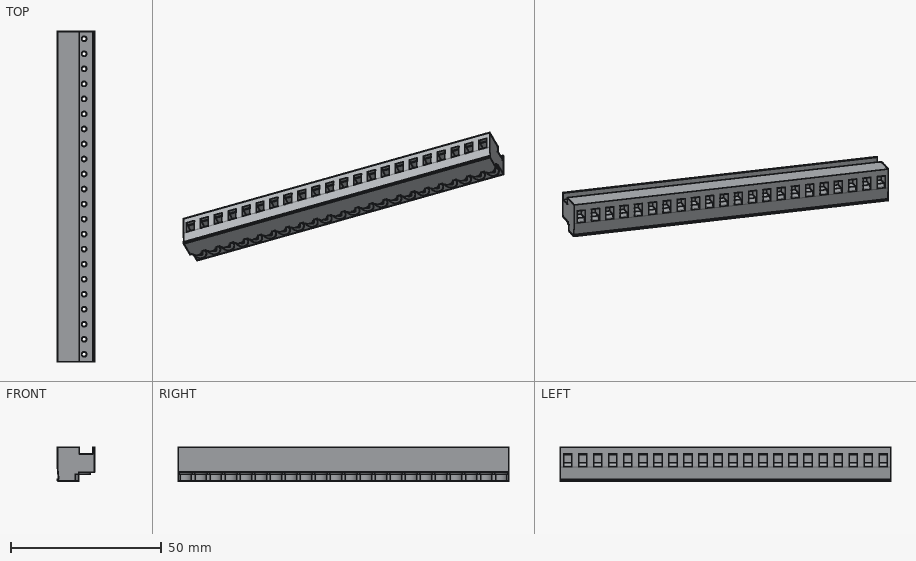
import cadquery as cq

length = 110.0
width = 12.4
height = 11.3
ways = 22
pitch = length / ways
way_positions = [(way + 0.5) * pitch for way in range(ways)]

channel_start = 7.4
channel_depth = 2.3
channel_floor = height - channel_depth
rear_wall = 0.7

foot_width = 5.9
step_width = 7.2
step_height = 2.2
overhang_height = 2.9
rear_chamfer = 0.2

taper_top = 4.7
taper_inset = 0.38
lip_top = 0.7
lip_nose_top = 0.5
lip_nose_bottom = 0.2

opening_width = 2.8
opening_bottom = 4.8
opening_top = 9.0
lead_in_depth = 1.2
ramp_depth = 0.7
ramp_rise = 0.3
wire_hole_bottom = 6.0
wire_hole_top = 8.7
wire_hole_depth = 4.4

pin_x = 8.9
pin_diameter = 1.5
boss_diameter = 4.2
rib_radius = 2.1


def make_body():
    """Extrude the X-Z outline of the strip over its full length, from Y = 0."""
    channel_end = width - rear_wall
    outline = [
        (taper_inset, 0),
        (foot_width, 0),
        (foot_width, step_height),
        (step_width, step_height),
        (step_width, overhang_height),
        (width - rear_chamfer, overhang_height),
        (width, overhang_height + rear_chamfer),
        (width, height),
        (channel_end, height),
        (channel_end, channel_floor),
        (channel_start, channel_floor),
        (channel_start, height),
        (0, height),
        (0, taper_top),
        (taper_inset, lip_top),
        (0, lip_nose_top),
        (0, lip_nose_bottom),
    ]
    return cq.Workplane("XZ").polyline(outline).close().extrude(-length)


def make_wire_opening(y):
    """Lead-in with a sloping floor that curves up to a deeper rectangular wire hole."""
    profile = (
        cq.Workplane("XZ", origin=(0, y - opening_width / 2, 0))
        .moveTo(0, opening_bottom)
        .lineTo(ramp_depth, opening_bottom + ramp_rise)
        .tangentArcPoint((lead_in_depth, wire_hole_bottom), relative=False)
        .lineTo(wire_hole_depth, wire_hole_bottom)
        .lineTo(wire_hole_depth, wire_hole_top)
        .lineTo(lead_in_depth, wire_hole_top)
        .lineTo(lead_in_depth, opening_top)
        .lineTo(0, opening_top)
        .close()
    )
    return profile.extrude(-opening_width)


def vertical_cylinders(x, diameter, bottom, top):
    """One vertical cylinder per way, all at the same X."""
    centres = [(x, y) for y in way_positions]
    return (
        cq.Workplane("XY", origin=(0, 0, bottom))
        .pushPoints(centres)
        .circle(diameter / 2)
        .extrude(top - bottom)
    )


ribs = vertical_cylinders(step_width - rib_radius, 2 * rib_radius, 0, overhang_height)
bosses = vertical_cylinders(pin_x, boss_diameter, step_height, channel_floor)
pin_holes = vertical_cylinders(pin_x, pin_diameter, 0, height)

result = make_body().union(ribs).union(bosses).cut(pin_holes)
for way_y in way_positions:
    result = result.cut(make_wire_opening(way_y))